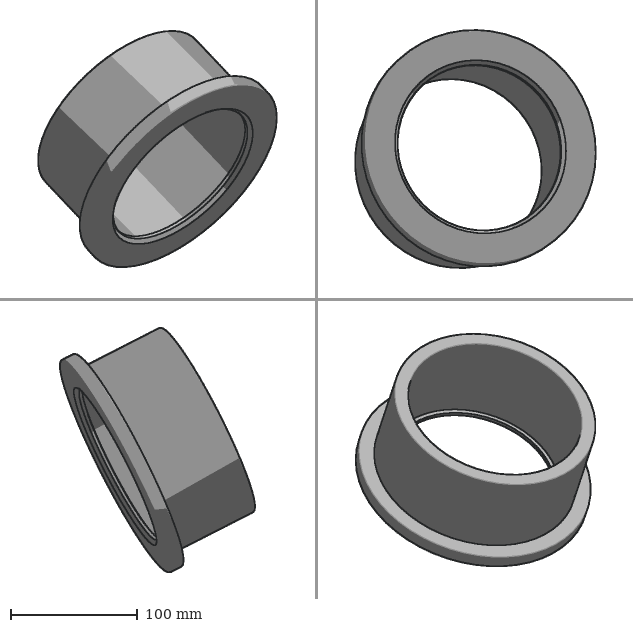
import cadquery as cq

length = 82.0
flange_diameter = 188.0
flange_thickness = 11.7
barrel_diameter = 163.0
bore_diameter = 140.0
lip_diameter = 133.0
lip_thickness = 6.0
edge_break = 1.3
lip_chamfer = 3.0


def disc(diameter, start, thickness):
    """Solid cylinder along +X from the plane x = start."""
    return cq.Workplane("YZ", origin=(start, 0, 0)).circle(diameter / 2).extrude(thickness)


barrel = disc(barrel_diameter, 0, length).faces("<X").edges().fillet(edge_break)
flange = disc(flange_diameter, length - flange_thickness, flange_thickness)
flange = flange.edges().fillet(edge_break)
body = barrel.union(flange)

body = body.cut(disc(bore_diameter, 0, length - lip_thickness))
body = body.cut(disc(lip_diameter, 0, length))

mouth_edge = cq.selectors.RadiusNthSelector(0)
body = body.faces("<X").edges(mouth_edge).fillet(edge_break)

result = body.faces(">X").edges(mouth_edge).chamfer(lip_chamfer)